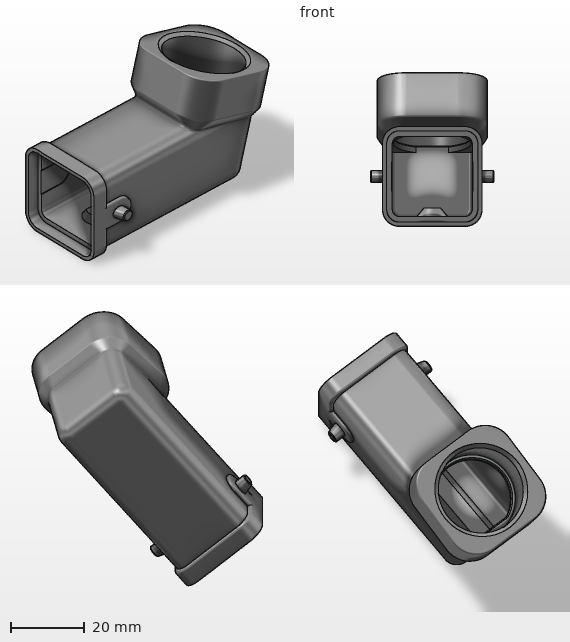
import cadquery as cq
import math

total_length = 68.2
tilt = math.radians(15)
cos_tilt = math.cos(tilt)
sin_tilt = math.sin(tilt)

flange_size = 27.0
flange_depth = 5.2
flange_corner = 4.6
flange_rear_round = 0.8
mid_height = flange_size / 2

body_size = 24.95
body_corner = 4.1
body_floor = mid_height - body_size / 2
body_top = mid_height + body_size / 2

collar_size = 29.85
collar_corner = 7.85
collar_height = 12.35
collar_rim_round = 0.4
collar_base_round = 0.7
collar_top_z = 37.85
rim_reach = collar_size / 2 * cos_tilt + collar_rim_round * (1 - cos_tilt - sin_tilt)
collar_top_y = total_length - rim_reach
neck_top_depth = (collar_top_z + body_size / 2 * sin_tilt - body_top) / cos_tilt
taper_height = neck_top_depth - collar_height
taper_run_on = 0.6
joint_drop = 1.7
neck_joint_round = 0.8

bore_radius = 11.65
bore_chamfer = 1.1
bore_chamfer_depth = 0.9
bore_depth = 14.05
ledge_thickness = 1.9
ledge_hole_radius = 10.6
ledge_chamfer = 0.35
ledge_hole_overlap = 1.35

recess_size = 24.7
recess_corner = 3.4
recess_depth = 3.5
cavity_size = 21.7
cavity_corner = 2.05
cavity_end_round = 0.9
rear_wall_offset = 9.6
cavity_floor = mid_height - cavity_size / 2
cavity_top = mid_height + cavity_size / 2

pad_radius = 3.9
pad_centre_y = 10.2
pad_round = 0.6
pocket_depth = 0.2
pin_span = 33.4
pin_diameter = 3.35
pin_centre_y = 9.8
pin_root_spread = 1.35
pin_tip_chamfer = 0.3

rib_base_width = 8.3
rib_top_width = 4.5
rib_height = 2.3
rib_front_y = 10.1
rib_nose_base_radius = 4.85
rib_nose_top_radius = 3.7

collar_plane = cq.Plane(
    origin=(0, collar_top_y, collar_top_z), xDir=(1, 0, 0), normal=(0, sin_tilt, cos_tilt)
)


def collar_section(depth):
    """Workplane square to the collar axis, at a depth below the collar's top face."""
    return cq.Workplane(collar_plane).workplane(offset=-depth)


def lies_at_depth(edge, depth):
    """True for an edge centred on the section of the collar at the given depth."""
    return abs(collar_plane.toLocalCoords(edge.Center()).z + depth) < 0.01


def tilted_point(outward, depth):
    """(Y, Z) of a point given by its rearward offset from the collar axis and its depth."""
    y = collar_top_y + outward * cos_tilt - depth * sin_tilt
    z = collar_top_z - outward * sin_tilt - depth * cos_tilt
    return y, z


def tilted_wall_y(outward, z):
    """Y at height z on the plane parallel to the collar axis at a rearward offset."""
    depth = (collar_top_z - z - outward * sin_tilt) / cos_tilt
    return tilted_point(outward, depth)[0]


def rounded_square(size, corner):
    return cq.Sketch().rect(size, size).vertices().fillet(corner)


def square_bar(size, corner, length):
    """Rounded square bar from Y = 0 towards +Y, centred on the body."""
    section = cq.Workplane("XZ", origin=(0, 0, mid_height))
    return section.placeSketch(rounded_square(size, corner)).extrude(-length)


def side_prism(outline, width):
    """Prism centred on X = 0 with its outline given in (Y, Z)."""
    return cq.Workplane("YZ").polyline(outline).close().extrude(width / 2, both=True)


def make_body():
    """Rounded bar with a tilted rear wall, its top sliced off under the collar."""
    half = body_size / 2
    outline = [
        (0, body_floor),
        (tilted_wall_y(half, body_floor), body_floor),
        (tilted_wall_y(half, body_top), body_top),
        (0, body_top),
    ]
    bar = side_prism(outline, body_size).edges("not <Y").fillet(body_corner)
    above_neck = collar_section(neck_top_depth).rect(2 * body_size, 2 * body_size).extrude(body_size)
    return bar.cut(above_neck)


def make_collar():
    """Collar with a taper that runs on past the neck into the inside of the body."""
    root_size = body_size - taper_run_on * (collar_size - body_size)
    root_corner = body_corner - taper_run_on * (collar_corner - body_corner)
    root_drop = cq.Location(cq.Vector(0, 0, -taper_height * (1 + taper_run_on)))
    wide = rounded_square(collar_size, collar_corner)
    root = rounded_square(root_size, root_corner).moved(root_drop)
    block = collar_section(collar_height).placeSketch(wide).extrude(collar_height)
    top_face = cq.selectors.DirectionMinMaxSelector(collar_plane.zDir)
    taper = collar_section(collar_height).placeSketch(wide, root).loft()
    collar = block.faces(top_face).edges().fillet(collar_rim_round).union(taper)
    base_edges = collar.edges().filter(lambda edge: lies_at_depth(edge, collar_height))
    return base_edges.fillet(collar_base_round)


def make_flange():
    return square_bar(flange_size, flange_corner, flange_depth).faces(">Y").edges().fillet(flange_rear_round)


def pad_bar(width, radius):
    """Bar across X with a round rear end, reaching forward to the mouth."""
    outline = (
        cq.Workplane("YZ", origin=(0, 0, mid_height))
        .moveTo(0, -radius)
        .lineTo(pad_centre_y, -radius)
        .threePointArc((pad_centre_y + radius, 0), (pad_centre_y, radius))
        .lineTo(0, radius)
        .close()
    )
    return outline.extrude(width / 2, both=True)


def make_pads():
    return pad_bar(flange_size, pad_radius).faces("<X or >X").edges("not <Y").fillet(pad_round)


def make_pin(side):
    """Pin on one side (+1 or -1), its root spread towards the mouth."""
    root_x = body_size / 2
    pin_length = pin_span / 2 - root_x
    root_plane = cq.Plane(
        origin=(side * root_x, pin_centre_y, mid_height), xDir=(0, 1, 0), normal=(side, 0, 0)
    )
    pin = (
        cq.Workplane(root_plane)
        .center(-pin_root_spread / 2, 0)
        .ellipse((pin_diameter + pin_root_spread) / 2, pin_diameter / 2)
        .workplane(offset=pin_length)
        .center(pin_root_spread / 2, 0)
        .ellipse(pin_diameter / 2, pin_diameter / 2)
        .loft()
    )
    return pin.faces(">X" if side > 0 else "<X").edges().chamfer(pin_tip_chamfer)


def make_cavity():
    ceiling_depth = bore_depth + ledge_thickness
    rear_ceiling = tilted_point(rear_wall_offset, ceiling_depth)
    level_run = (cavity_top - rear_ceiling[1]) / math.tan(tilt)
    outline = [
        (0, cavity_floor),
        (tilted_wall_y(rear_wall_offset, cavity_floor), cavity_floor),
        rear_ceiling,
        (rear_ceiling[0] - level_run, cavity_top),
        (0, cavity_top),
    ]
    rear_wall = cq.selectors.DirectionMinMaxSelector(cq.Vector(0, cos_tilt, -sin_tilt))
    cavity = side_prism(outline, cavity_size).edges("|Y").fillet(cavity_corner)
    lower_rear = cavity.faces(rear_wall).edges().filter(lambda edge: edge.Center().z < rear_ceiling[1] - 0.7)
    return lower_rear.fillet(cavity_end_round)


def make_rib():
    """Trapezoidal rib along the cavity floor with a conical front end."""
    nose_y = rib_front_y + rib_nose_base_radius
    back_y = tilted_wall_y(rear_wall_offset, cavity_floor) + 0.7
    section = [
        (-rib_base_width / 2, 0),
        (rib_base_width / 2, 0),
        (rib_top_width / 2, rib_height),
        (-rib_top_width / 2, rib_height),
    ]
    rib = cq.Workplane("XZ", origin=(0, 0, cavity_floor)).polyline(section).close().extrude(-back_y)
    nose = (
        cq.Workplane("XY", origin=(0, nose_y, cavity_floor))
        .circle(rib_nose_base_radius)
        .workplane(offset=rib_height)
        .circle(rib_nose_top_radius)
        .loft()
    )
    straight = cq.Workplane("XY").box(rib_base_width, back_y - nose_y, rib_height, centered=(True, False, False))
    return rib.intersect(nose.union(straight.translate((0, nose_y, cavity_floor))))


def make_bore():
    rim_radius = bore_radius + bore_chamfer
    bore = collar_section(bore_depth).circle(bore_radius).extrude(bore_depth)
    mouth = (
        collar_section(bore_chamfer_depth)
        .circle(bore_radius)
        .workplane(offset=bore_chamfer_depth)
        .circle(rim_radius)
        .loft()
    )
    return bore.union(mouth)


def ledge_outline(depth, widening):
    """Circle cut flat at the plane of the cavity's rear wall, drawn at a depth in the collar."""
    radius = ledge_hole_radius + widening
    flat = rear_wall_offset + widening
    half_chord = math.sqrt(radius**2 - flat**2)
    start = collar_section(depth).moveTo(-half_chord, flat)
    return start.threePointArc((0, -radius), (half_chord, flat)).close()


def make_ledge_hole():
    hole_height = ledge_thickness + ledge_hole_overlap
    hole = ledge_outline(bore_depth + hole_height, 0).extrude(hole_height)
    wide = ledge_outline(bore_depth, ledge_chamfer).val()
    narrow = ledge_outline(bore_depth + ledge_chamfer, 0).val()
    chamfer = cq.Workplane(cq.Solid.makeLoft([wide, narrow]))
    return hole.union(chamfer)


def make_shell():
    """Body and collar with a fillet all round the joint between them."""
    shell = make_body().union(make_collar())
    lowest = neck_top_depth + joint_drop

    def lies_on_joint(edge):
        depths = [-collar_plane.toLocalCoords(point).z for point in (edge.startPoint(), edge.endPoint())]
        return min(depths) > neck_top_depth - 0.1 and max(depths) < lowest

    return shell.edges().filter(lies_on_joint).fillet(neck_joint_round)


additions = [make_flange(), make_pads(), make_pin(-1), make_pin(1)]
hollows = [
    make_cavity(),
    square_bar(recess_size, recess_corner, recess_depth),
    pad_bar(cavity_size + 2 * pocket_depth, pad_radius),
    make_bore(),
    make_ledge_hole(),
]

result = make_shell()
for addition in additions:
    result = result.union(addition)
for hollow in hollows:
    result = result.cut(hollow)
result = result.union(make_rib())